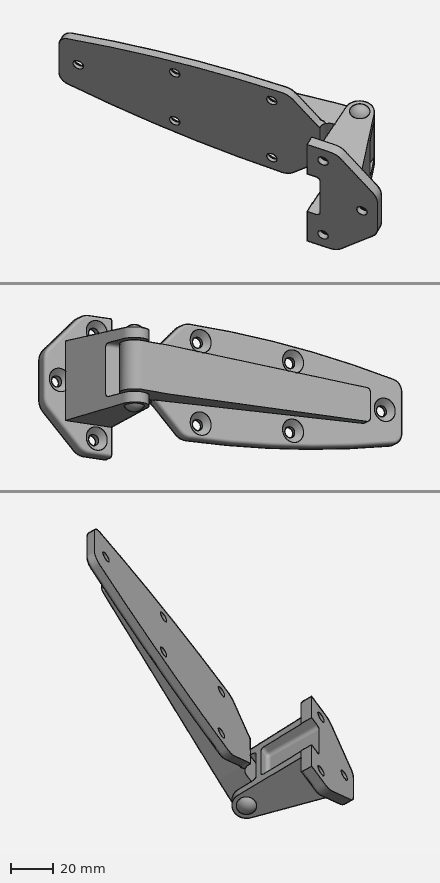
import cadquery as cq
import math


total_length = 178.0
total_height = 49.0
knuckle_radius = 7.0
pin_x = 150.0
pin_y = total_height - knuckle_radius
pin_radius = 3.2
screw_hole_diameter = 5.3
countersink_depth = 3.0
plate_corner_radius = 8.2
plate_edge_radius = 1.6

base_left = 141.7
base_thickness = 6.0
base_half_width = 34.0
base_shoulder_x = 156.8
base_tip_half_width = 12.8
base_holes = [(149.8, 26.0), (149.8, -26.0), (170.0, 0)]
lug_foot_right = 167.0
lug_foot_half_width = 19.5
lug_top_half_width = 18.3
gap_half_width = 13.2
gap_floor_y = 32.0
pocket_depth_x = 148.2
pocket_roof_y = 29.0
inner_corner_radius = 2.0

strap_front_y = 30.0
strap_plate_thickness = 5.0
strap_back_y = strap_front_y + strap_plate_thickness
strap_end_half_width = 15.0
strap_middle_x = 59.8
strap_middle_half_width = 24.7
strap_shoulder_x = 118.5
strap_shoulder_half_width = 28.1
strap_end_corner_radius = 5.9
neck_half_width = 12.0
neck_corner_radius = 6.0
neck_relief_left = 134.9
neck_relief_radius = 4.3
neck_relief_right = neck_relief_left + neck_relief_radius
strap_holes = [(10.0, 0), (59.8, 16.9), (59.8, -16.9), (110.0, 20.1), (110.0, -20.1)]
rib_start_x = 20.1
rib_start_y = 39.2
rib_start_half_width = 8.2
rib_end_x = 134.7
rib_corner_radius = 2.0

head_radius = 4.8
head_crown_z = 21.2


def on_plan(y):
    """Workplane parallel to the plates at height y: local x is X, local y is Z, normal is -Y."""
    return cq.Workplane("XZ", origin=(0, y, 0))


def tangent_point(x, y, side):
    """Where a line from (x, y) touches the knuckle circle; side is +1 or -1 for which flank."""
    distance = math.hypot(x - pin_x, y - pin_y)
    swing = math.acos(knuckle_radius / distance)
    angle = math.atan2(y - pin_y, x - pin_x) + side * swing
    return pin_x + knuckle_radius * math.cos(angle), pin_y + knuckle_radius * math.sin(angle)


def box_between(x_min, x_max, y_min, y_max, half_width):
    """Block centred on the plane of symmetry."""
    return (
        cq.Workplane("XY", origin=(0, 0, -half_width))
        .moveTo(x_min, y_min)
        .lineTo(x_max, y_min)
        .lineTo(x_max, y_max)
        .lineTo(x_min, y_max)
        .close()
        .extrude(2 * half_width)
    )


def screw_holes(places, y_min, y_max):
    """Through holes that flare at 45 degrees towards the outer face at y_max."""
    holes = on_plan(y_max).pushPoints(places).circle(screw_hole_diameter / 2).extrude(y_max - y_min)
    flares = (
        on_plan(y_max)
        .pushPoints(places)
        .circle(screw_hole_diameter / 2 + countersink_depth)
        .extrude(countersink_depth, taper=45)
    )
    return holes.union(flares)


def round_upright_edges(plate, x, z, radius):
    """Round the two edges along Y that stand at (x, z) and (x, -z)."""
    y = plate.val().Center().y
    for side in (1, -1):
        plate = plate.edges(cq.NearestToPointSelector((x, y, side * z))).fillet(radius)
    return plate


def pin_shank(half_length):
    return (
        cq.Workplane("XY", origin=(pin_x, pin_y, -half_length))
        .circle(pin_radius)
        .extrude(2 * half_length)
    )


def base_plate():
    outline = [
        (base_left, base_half_width),
        (base_shoulder_x, base_half_width),
        (total_length, base_tip_half_width),
        (total_length, -base_tip_half_width),
        (base_shoulder_x, -base_half_width),
        (base_left, -base_half_width),
    ]
    plate = on_plan(base_thickness).polyline(outline).close().extrude(base_thickness)
    plate = round_upright_edges(plate, base_shoulder_x, base_half_width, plate_corner_radius)
    plate = round_upright_edges(plate, total_length, base_tip_half_width, plate_corner_radius)
    return plate.faces(">Y").edges("not(<X)").fillet(plate_edge_radius)


def lug_block():
    """Tapered upright with a rounded top, slightly narrower in Z at the top than at the foot."""
    left_tangent = tangent_point(base_left, 0, -1)
    right_tangent = tangent_point(lug_foot_right, base_thickness, 1)
    side_shape = (
        cq.Workplane("XY", origin=(0, 0, -lug_foot_half_width))
        .moveTo(base_left, 0)
        .lineTo(*left_tangent)
        .threePointArc((pin_x, total_height), right_tangent)
        .lineTo(lug_foot_right, base_thickness)
        .lineTo(lug_foot_right, 0)
        .close()
        .extrude(2 * lug_foot_half_width)
    )
    draft_shape = (
        cq.Workplane("YZ", origin=(base_left, 0, 0))
        .moveTo(0, -lug_foot_half_width)
        .lineTo(total_height, -lug_top_half_width)
        .lineTo(total_height, lug_top_half_width)
        .lineTo(0, lug_foot_half_width)
        .close()
        .extrude(total_length - base_left)
    )
    return side_shape.intersect(draft_shape)


def make_bracket():
    overshoot = 2 * inner_corner_radius
    knuckle_gap = box_between(
        base_left - overshoot, total_length, gap_floor_y, total_height + overshoot, gap_half_width
    )
    knuckle_gap = knuckle_gap.edges("|X and <Y").fillet(inner_corner_radius)
    pocket = box_between(
        base_left - overshoot, pocket_depth_x, -overshoot, pocket_roof_y, gap_half_width
    )
    pocket = pocket.edges("(>X or >Y) and (not <X) and (not <Y)").fillet(inner_corner_radius)
    return (
        base_plate()
        .union(lug_block())
        .cut(knuckle_gap)
        .cut(pocket)
        .cut(screw_holes(base_holes, 0, base_thickness))
        .cut(pin_shank(lug_foot_half_width))
    )


def strap_plate():
    """Leaf with bowed sides, narrowing at 45 degrees to the neck."""
    neck_x = strap_shoulder_x + strap_shoulder_half_width - neck_half_width
    plate = (
        on_plan(strap_back_y)
        .moveTo(0, -strap_end_half_width)
        .lineTo(0, strap_end_half_width)
        .threePointArc(
            (strap_middle_x, strap_middle_half_width),
            (strap_shoulder_x, strap_shoulder_half_width),
        )
        .lineTo(neck_x, neck_half_width)
        .lineTo(neck_relief_right, neck_half_width)
        .lineTo(neck_relief_right, -neck_half_width)
        .lineTo(neck_x, -neck_half_width)
        .lineTo(strap_shoulder_x, -strap_shoulder_half_width)
        .threePointArc(
            (strap_middle_x, -strap_middle_half_width),
            (0, -strap_end_half_width),
        )
        .close()
        .extrude(strap_plate_thickness)
    )
    plate = round_upright_edges(plate, 0, strap_end_half_width, strap_end_corner_radius)
    plate = round_upright_edges(
        plate, strap_shoulder_x, strap_shoulder_half_width, plate_corner_radius
    )
    plate = round_upright_edges(plate, neck_x, neck_half_width, neck_corner_radius)
    return plate.faces(">Y").edges("not(>X)").fillet(plate_edge_radius)


def neck_relief():
    """Hollow that curves the mounting side of the plate up to the knuckle's underside."""
    return (
        cq.Workplane("XY", origin=(0, 0, -strap_shoulder_half_width))
        .moveTo(neck_relief_left, strap_front_y)
        .lineTo(neck_relief_left, strap_back_y - neck_relief_radius)
        .radiusArc((neck_relief_right, strap_back_y), neck_relief_radius)
        .lineTo(neck_relief_right, strap_front_y)
        .close()
        .extrude(2 * strap_shoulder_half_width)
    )


def rib_and_knuckle():
    """Rib that rises and widens towards the pin, where it ends in the rounded knuckle."""
    side_shape = (
        cq.Workplane("XY", origin=(0, 0, -neck_half_width))
        .moveTo(rib_start_x, strap_back_y)
        .lineTo(rib_start_x, rib_start_y)
        .lineTo(*tangent_point(rib_start_x, rib_start_y, -1))
        .threePointArc(
            (pin_x + knuckle_radius, pin_y),
            (pin_x, pin_y - knuckle_radius),
        )
        .close()
        .extrude(2 * neck_half_width)
    )
    knuckle_end_x = pin_x + knuckle_radius
    plan_outline = [
        (rib_start_x, rib_start_half_width),
        (rib_end_x, neck_half_width),
        (knuckle_end_x, neck_half_width),
        (knuckle_end_x, -neck_half_width),
        (rib_end_x, -neck_half_width),
        (rib_start_x, -rib_start_half_width),
    ]
    plan_shape = on_plan(total_height).polyline(plan_outline).close().extrude(total_height)
    plan_shape = plan_shape.edges("|Y and <X").fillet(rib_corner_radius)
    return side_shape.intersect(plan_shape)


def make_strap():
    neck = box_between(rib_end_x, neck_relief_right, strap_front_y, strap_back_y, neck_half_width)
    return (
        strap_plate()
        .union(neck)
        .cut(neck_relief())
        .union(rib_and_knuckle())
        .cut(screw_holes(strap_holes, strap_front_y, strap_back_y))
        .cut(pin_shank(neck_half_width))
    )


def pin_head():
    """Domed cap on the +Z end, reaching down inside the lug."""
    seat_z = lug_foot_half_width + (lug_top_half_width - lug_foot_half_width) * pin_y / total_height
    rise = head_crown_z - seat_z
    sphere_radius = (head_radius**2 + rise**2) / (2 * rise)
    sphere = cq.Workplane("XY", origin=(pin_x, pin_y, head_crown_z - sphere_radius)).sphere(
        sphere_radius
    )
    above_gap = (
        cq.Workplane("XY", origin=(pin_x, pin_y, gap_half_width))
        .circle(sphere_radius)
        .extrude(head_crown_z)
    )
    return sphere.intersect(above_gap)


def make_pin(bracket):
    """Shank with two domed heads, each trimmed to the sloping lug face it bears on."""
    head = pin_head().cut(bracket)
    return pin_shank(lug_top_half_width).union(head).union(head.mirror("XY"))


bracket = make_bracket()
strap = make_strap()
pin = make_pin(bracket)

result = cq.Compound.makeCompound([bracket.val(), strap.val(), pin.val()])